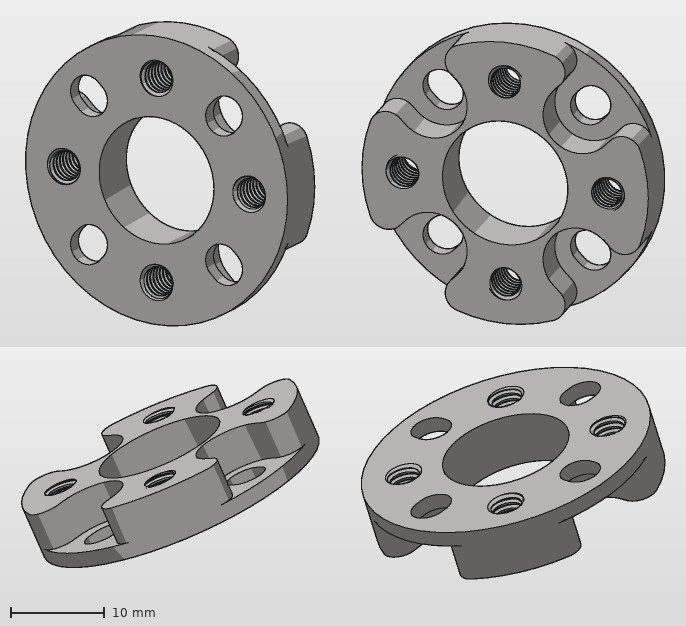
import cadquery as cq
import math

OUTER_RADIUS = 16.0
BORE_RADIUS = 7.0
THICKNESS = 6.0
FLOOR_THICKNESS = 1.75

PATTERN_HALF_SIDE = 8.0
PATTERN_RADIUS = PATTERN_HALF_SIDE * math.sqrt(2)
PATTERN_COUNT = 4
PATTERN_STEP = 360.0 / PATTERN_COUNT
NOTCH_START_ANGLE = PATTERN_STEP / 2
TAPPED_START_ANGLE = 0.0

SLOT_WIDTH = 4.0
SLOT_OUTER_CENTER = 12.0
SLOT_TRAVEL = SLOT_OUTER_CENTER - PATTERN_RADIUS
SLOT_CENTER = (SLOT_OUTER_CENTER + PATTERN_RADIUS) / 2

NOTCH_RADIUS = 4.0
NOTCH_CORNER_RADIUS = 2.0
NOTCH_OVERSHOOT = 4.0

THREAD_MAJOR_RADIUS = 2.0
THREAD_MINOR_RADIUS = 1.65
THREAD_PITCH = 0.7
THREAD_ROOT_WIDTH = THREAD_PITCH / 8
THREAD_FLANK_ANGLE = 30.0
THREAD_START_ANGLE = 180.0
LEAD_IN = THREAD_MAJOR_RADIUS - THREAD_MINOR_RADIUS
GROOVE_TURNS = math.ceil(THICKNESS / THREAD_PITCH) + 2
GROOVE_OVERLAP = 0.05


def polar_copies(shape, start_angle):
    """Copies of a shape, placed along +X, around the disc axis (local Z)."""
    return [
        shape.rotate((0, 0, 0), (0, 0, 1), start_angle + i * PATTERN_STEP)
        for i in range(PATTERN_COUNT)
    ]


def make_disc():
    return cq.Workplane("XY").circle(OUTER_RADIUS).circle(BORE_RADIUS).extrude(THICKNESS)


def make_slot():
    slot_length = SLOT_TRAVEL + SLOT_WIDTH
    return (
        cq.Workplane("XY")
        .center(SLOT_CENTER, 0)
        .slot2D(slot_length, SLOT_WIDTH)
        .extrude(THICKNESS)
    )


def make_notch():
    """Notch cutter whose mouth flares along corner arcs tangent to the rim."""
    corner_y = NOTCH_RADIUS + NOTCH_CORNER_RADIUS
    corner_center_radius = OUTER_RADIUS - NOTCH_CORNER_RADIUS
    corner_x = math.sqrt(corner_center_radius**2 - corner_y**2)
    rim_angle = math.atan2(corner_y, corner_x)
    rim_x = OUTER_RADIUS * math.cos(rim_angle)
    rim_y = OUTER_RADIUS * math.sin(rim_angle)
    mid_angle = (rim_angle - math.pi / 2) / 2
    mid_x = corner_x + NOTCH_CORNER_RADIUS * math.cos(mid_angle)
    mid_y = corner_y + NOTCH_CORNER_RADIUS * math.sin(mid_angle)
    outside_x = OUTER_RADIUS + NOTCH_OVERSHOOT
    return (
        cq.Workplane("XY", origin=(0, 0, FLOOR_THICKNESS))
        .moveTo(SLOT_CENTER, -NOTCH_RADIUS)
        .lineTo(corner_x, -NOTCH_RADIUS)
        .threePointArc((mid_x, -mid_y), (rim_x, -rim_y))
        .lineTo(outside_x, -rim_y)
        .lineTo(outside_x, rim_y)
        .lineTo(rim_x, rim_y)
        .threePointArc((mid_x, mid_y), (corner_x, NOTCH_RADIUS))
        .lineTo(SLOT_CENTER, NOTCH_RADIUS)
        .threePointArc((SLOT_CENTER - NOTCH_RADIUS, 0), (SLOT_CENTER, -NOTCH_RADIUS))
        .close()
        .extrude(THICKNESS - FLOOR_THICKNESS)
    )


def make_tap_drill():
    """Through hole with a countersunk mouth on the front face."""
    return (
        cq.Workplane("XZ", origin=(PATTERN_RADIUS, 0, 0))
        .moveTo(0, 0)
        .lineTo(THREAD_MAJOR_RADIUS, 0)
        .lineTo(THREAD_MINOR_RADIUS, LEAD_IN)
        .lineTo(THREAD_MINOR_RADIUS, THICKNESS)
        .lineTo(0, THICKNESS)
        .close()
        .revolve(360, (0, 0, 0), (0, 1, 0))
    )


def make_groove_turn():
    """One turn of the helical groove cutter, starting one pitch before the front face."""
    inner_radius = THREAD_MINOR_RADIUS - GROOVE_OVERLAP
    flank_rise = (THREAD_MAJOR_RADIUS - inner_radius) * math.tan(math.radians(THREAD_FLANK_ANGLE))
    root_half = THREAD_ROOT_WIDTH / 2
    mouth_half = root_half + flank_rise
    corners = [
        (inner_radius, -mouth_half),
        (THREAD_MAJOR_RADIUS, -root_half),
        (THREAD_MAJOR_RADIUS, root_half),
        (inner_radius, mouth_half),
    ]
    edges = [
        cq.Wire.makeHelix(THREAD_PITCH, THREAD_PITCH, radius).translate(cq.Vector(0, 0, height))
        for radius, height in corners
    ]
    faces = [cq.Face.makeRuledSurface(edges[i - 1], edges[i]) for i in range(len(edges))]
    for end in (0, 1):
        end_points = [edge.positionAt(end) for edge in edges]
        faces.append(cq.Face.makeFromWires(cq.Wire.makePolygon(end_points, close=True)))
    turn = cq.Workplane(cq.Solid.makeSolid(cq.Shell.makeShell(faces)))
    return turn.rotate((0, 0, 0), (0, 0, 1), THREAD_START_ANGLE).translate(
        (PATTERN_RADIUS, 0, -THREAD_PITCH)
    )


def cut_all(body, cutters):
    for cutter in cutters:
        body = body.cut(cutter)
    return body


part = make_disc()
part = cut_all(part, polar_copies(make_notch(), NOTCH_START_ANGLE))
part = cut_all(part, polar_copies(make_slot(), NOTCH_START_ANGLE))
part = cut_all(part, polar_copies(make_tap_drill(), TAPPED_START_ANGLE))

for groove_turn in polar_copies(make_groove_turn(), TAPPED_START_ANGLE):
    turns = [groove_turn.translate((0, 0, i * THREAD_PITCH)) for i in range(GROOVE_TURNS)]
    part = cut_all(part, turns)

result = part.solids().rotate((0, 0, 0), (1, 0, 0), -90)